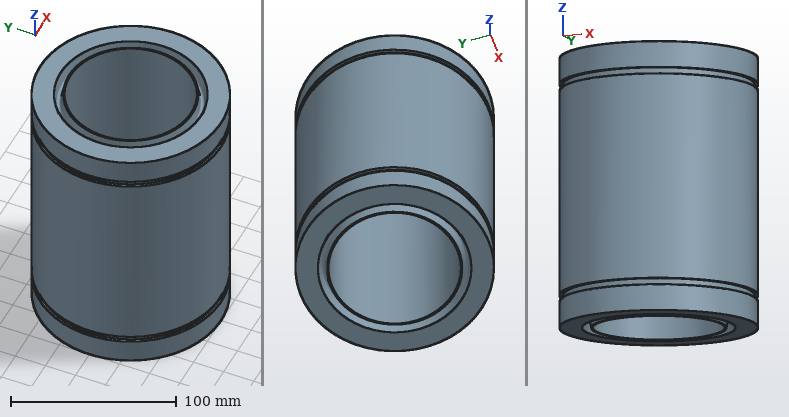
import cadquery as cq

length = 165.0
outer_diameter = 120.0
bore_diameter = 80.0
outer_radius = outer_diameter / 2
bore_radius = bore_diameter / 2

ring_groove_diameter = 116.0
ring_groove_width = 4.0
ring_groove_offset = 15.8

seal_mouth_radius = 46.4
floor_outer_radius = 44.7
floor_inner_radius = 42.2
lip_tip_radius = 40.8
floor_edge_depth = 7.0
floor_sag = 1.0


def ring_groove(bottom):
    """Ring of material to remove, starting at height `bottom`."""
    return (
        cq.Workplane("XY", origin=(0, 0, bottom))
        .circle(outer_radius + 1.6)
        .circle(ring_groove_diameter / 2)
        .extrude(ring_groove_width)
    )


def top_seal_recess():
    """Material to remove at the upper end, revolved about the Z axis."""
    top = length / 2
    floor_edge = top - floor_edge_depth
    floor_middle_radius = (floor_outer_radius + floor_inner_radius) / 2
    return (
        cq.Workplane("XZ")
        .moveTo(lip_tip_radius, top)
        .lineTo(seal_mouth_radius, top)
        .lineTo(floor_outer_radius, floor_edge)
        .threePointArc(
            (floor_middle_radius, floor_edge - floor_sag),
            (floor_inner_radius, floor_edge),
        )
        .close()
        .revolve(360, (0, 0, 0), (0, 1, 0))
    )


sleeve = (
    cq.Workplane("XY", origin=(0, 0, -length / 2))
    .circle(outer_radius)
    .circle(bore_radius)
    .extrude(length)
)

upper_groove_bottom = length / 2 - ring_groove_offset - ring_groove_width
lower_groove_bottom = -length / 2 + ring_groove_offset
for groove_bottom in (upper_groove_bottom, lower_groove_bottom):
    sleeve = sleeve.cut(ring_groove(groove_bottom))

seal_recess = top_seal_recess()
for recess in (seal_recess, seal_recess.mirror("XY")):
    sleeve = sleeve.cut(recess)

result = sleeve